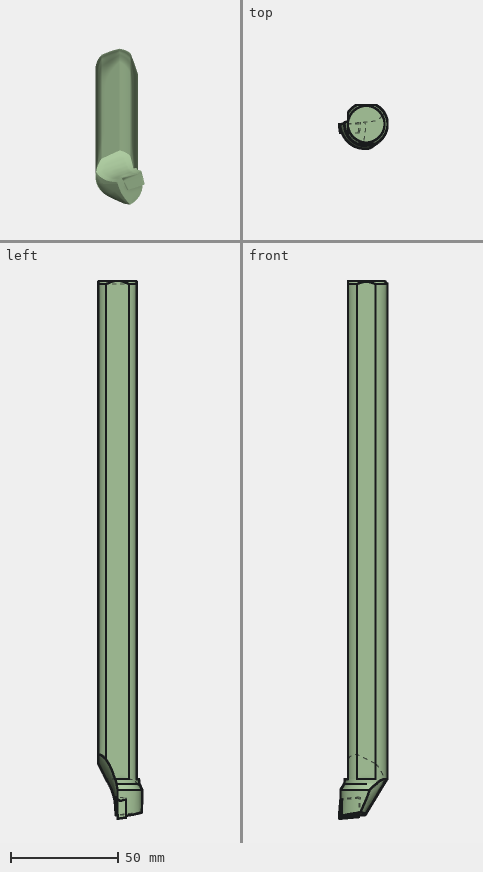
import cadquery as cq
import math

length = 251.2
shank_radius = 10.0
side_flat = 8.5
face_flat = 9.0
end_chamfer = 1.5

head_top = 18.5
head_shoulder = 13.5
head_radius = 11.5
head_shift = 0.5
neck_height = 16.3
neck_radius = 10.3
relief_edge = 9.8
relief_foot_radius = 25.0
relief_slope = 0.61

pocket_radius = 27.6
pocket_tangent_height = 7.3
pocket_tilt = 22.0
rake_tilt = 5.0
pocket_entry = 45.0
rake_level = 1.0

tip_x = -12.8
insert_side = 9.5
insert_thickness = 4.0
insert_corner = 80.0
nose_radius = 0.8
clearance = 7.0
edge_tilt = (90.0 - insert_corner) / 2
underside_gap = 0.8

reach = 4 * head_radius


def circle_loft(x_low, radius_low, z_low, x_high, radius_high, z_high):
    """A solid between two horizontal circles."""
    low = cq.Wire.makeCircle(radius_low, cq.Vector(x_low, 0, z_low), cq.Vector(0, 0, 1))
    high = cq.Wire.makeCircle(radius_high, cq.Vector(x_high, 0, z_high), cq.Vector(0, 0, 1))
    return cq.Workplane(obj=cq.Solid.makeLoft([low, high], True))


def make_shank():
    bar = (
        cq.Workplane("XY")
        .workplane(offset=head_top)
        .circle(shank_radius)
        .extrude(length - head_top)
        .faces(">Z")
        .chamfer(end_chamfer)
    )
    flats = cq.Workplane("XY").box(
        side_flat + shank_radius, 2 * face_flat, length, centered=(False, True, False)
    )
    return bar.intersect(flats.translate((-side_flat, 0, 0)))


def make_underside_cutter():
    """Everything below a plane that rises from the tip towards +X and -Y."""
    return (
        cq.Workplane("XY")
        .box(2 * reach, 2 * reach, reach, centered=(True, True, False))
        .translate((0, 0, -reach))
        .rotate((0, 0, 0), (1, 0, 0), -clearance)
        .rotate((0, 0, 0), (0, 1, 0), -edge_tilt)
        .translate((tip_x, 0, underside_gap))
    )


def make_head():
    foot = cq.Workplane("XY").circle(head_radius).extrude(head_shoulder).translate((-head_shift, 0, 0))
    shoulder = circle_loft(-head_shift, head_radius, head_shoulder, 0, neck_radius, neck_height)
    neck = circle_loft(0, neck_radius, neck_height, 0, shank_radius, head_top)
    relief_foot_x = relief_edge - relief_slope * head_top - relief_foot_radius
    relief_top_x = relief_edge - head_radius
    relief = circle_loft(relief_foot_x, relief_foot_radius, 0, relief_top_x, head_radius, head_top)
    return foot.union(shoulder).union(neck).intersect(relief).cut(make_underside_cutter())


def make_chip_pocket():
    """The cutter on the +Y side, with a straight rake, an arc and a straight run-out."""

    def on_arc(angle):
        turn = math.radians(angle)
        return (pocket_radius * (1 - math.cos(turn)), pocket_radius * math.sin(turn))

    end_y, end_z = on_arc(pocket_entry)
    rise = math.tan(math.radians(90 - pocket_entry))
    return (
        cq.Workplane("YZ")
        .moveTo(0, -reach)
        .lineTo(0, 0)
        .threePointArc(on_arc(pocket_entry / 2), (end_y, end_z))
        .lineTo(reach, end_z + (reach - end_y) * rise)
        .lineTo(reach, -reach)
        .close()
        .extrude(reach, both=True)
        .rotate((0, 0, 0), (0, 1, 0), pocket_tilt)
        .rotate((0, 0, 0), (0, 0, 1), rake_tilt)
        .translate((0, rake_level, pocket_tangent_height))
    )


def insert_outline():
    """The rhombus at Y = 0, placed so that its rounded nose touches X = tip_x and Z = 0."""
    nose_offset = nose_radius * (1 - math.sqrt(0.5) / math.sin(math.radians(insert_corner / 2)))
    corner = cq.Vector(tip_x + nose_offset, nose_offset)
    along = insert_side * math.cos(math.radians(edge_tilt))
    across = insert_side * math.sin(math.radians(edge_tilt))
    low_edge = cq.Vector(along, across)
    left_edge = cq.Vector(across, along)
    points = [corner, corner + low_edge, corner + low_edge + left_edge, corner + left_edge]
    return cq.Workplane("XZ").polyline([(p.x, p.y) for p in points]).close()


def make_insert():
    plate = insert_outline().extrude(insert_thickness, taper=clearance)
    return plate.edges("not(#Y)").fillet(nose_radius)


def make_holder(insert):
    holder = make_shank().union(make_head()).cut(make_chip_pocket())
    seat_opening = insert_outline().extrude(-head_radius)
    seat_opening = seat_opening.edges("|Y").fillet(nose_radius)
    return holder.cut(seat_opening).cut(insert)


insert = make_insert()
holder = make_holder(insert)
result = cq.Compound.makeCompound([*holder.solids().vals(), *insert.solids().vals()])